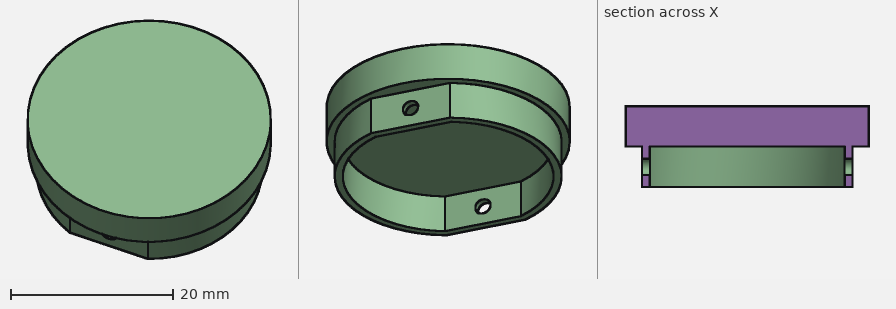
import cadquery as cq

cap_diameter = 30.0
cap_height = 5.0
plug_diameter = 28.0
plug_height = 5.0
width_across_flats = 26.0
wall_thickness = 1.0
cross_hole_diameter = 2.0

recess_diameter = plug_diameter - 2 * wall_thickness
recess_across_flats = width_across_flats - 2 * wall_thickness


def make_flatted_cylinder(diameter, across_flats, height):
    """Upright cylinder with two parallel flats facing -Y and +Y, standing on Z = 0."""
    cylinder = cq.Workplane("XY").circle(diameter / 2).extrude(height)
    slab = cq.Workplane("XY").rect(diameter, across_flats).extrude(height)
    return cylinder.intersect(slab)


def make_plug():
    """Hollow plug, open at the bottom, with a uniform wall."""
    body = make_flatted_cylinder(plug_diameter, width_across_flats, plug_height)
    recess = make_flatted_cylinder(recess_diameter, recess_across_flats, plug_height)
    return body.cut(recess)


def make_cap():
    """Wider solid disc that closes the top of the plug."""
    return cq.Workplane("XY").workplane(offset=plug_height).circle(cap_diameter / 2).extrude(cap_height)


def make_cross_hole():
    """Cutter along Y, through both flat walls at mid-height of the plug."""
    return (
        cq.Workplane("XZ")
        .center(0, plug_height / 2)
        .circle(cross_hole_diameter / 2)
        .extrude(width_across_flats, both=True)
    )


result = make_plug().union(make_cap()).cut(make_cross_hole())